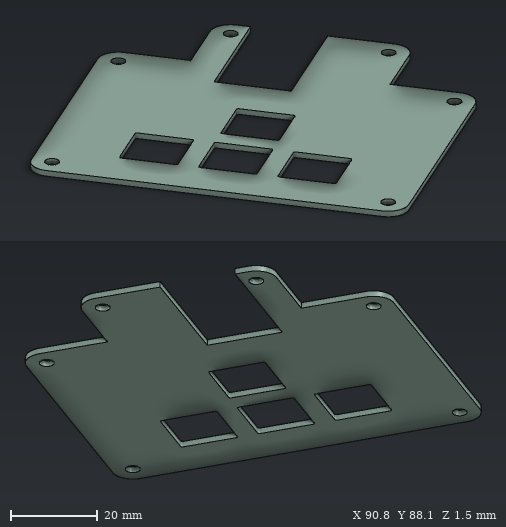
import cadquery as cq

thickness = 1.5
body_width = 90.85
body_depth = 66.7
total_depth = 88.09
corner_radius = 5.0

tab_left = 21.0
tab_right = 69.0

slot_left = 29.4
slot_right = 47.9
slot_bottom = 57.0

hole_diameter = 3.4

key_size = 14.0
key_pitch = 19.05
key_corner_radius = 0.5
key_row_y = 18.35
key_middle_x = body_width / 2


def make_rounded_block(left, right, top):
    """Block standing on the XY plane from y = 0 to top, with rounded vertical edges."""
    block = cq.Workplane("XY").box(right - left, top, thickness, centered=False)
    return block.edges("|Z").fillet(corner_radius).translate((left, 0, 0))


def make_outline():
    body = make_rounded_block(0, body_width, body_depth)
    tab = make_rounded_block(tab_left, tab_right, total_depth)
    return body.union(tab)


def make_slot():
    slot = cq.Workplane("XY").box(
        slot_right - slot_left, total_depth - slot_bottom, thickness, centered=False
    )
    return slot.translate((slot_left, slot_bottom, 0))


def make_mounting_holes():
    left = corner_radius
    right = body_width - corner_radius
    body_top = body_depth - corner_radius
    tab_top = total_depth - corner_radius
    centers = [
        (left, corner_radius),
        (right, corner_radius),
        (left, body_top),
        (right, body_top),
        (tab_left + corner_radius, tab_top),
        (tab_right - corner_radius, tab_top),
    ]
    return cq.Workplane("XY").pushPoints(centers).circle(hole_diameter / 2).extrude(thickness)


def make_key_openings():
    centers = [(key_middle_x + column * key_pitch, key_row_y) for column in (-1, 0, 1)]
    centers.append((key_middle_x, key_row_y + key_pitch))
    openings = cq.Workplane("XY").pushPoints(centers).rect(key_size, key_size).extrude(thickness)
    return openings.edges("|Z").fillet(key_corner_radius)


plate = make_outline().cut(make_slot()).cut(make_mounting_holes()).cut(make_key_openings())

result = plate.translate((-body_width / 2, -total_depth / 2, 0))